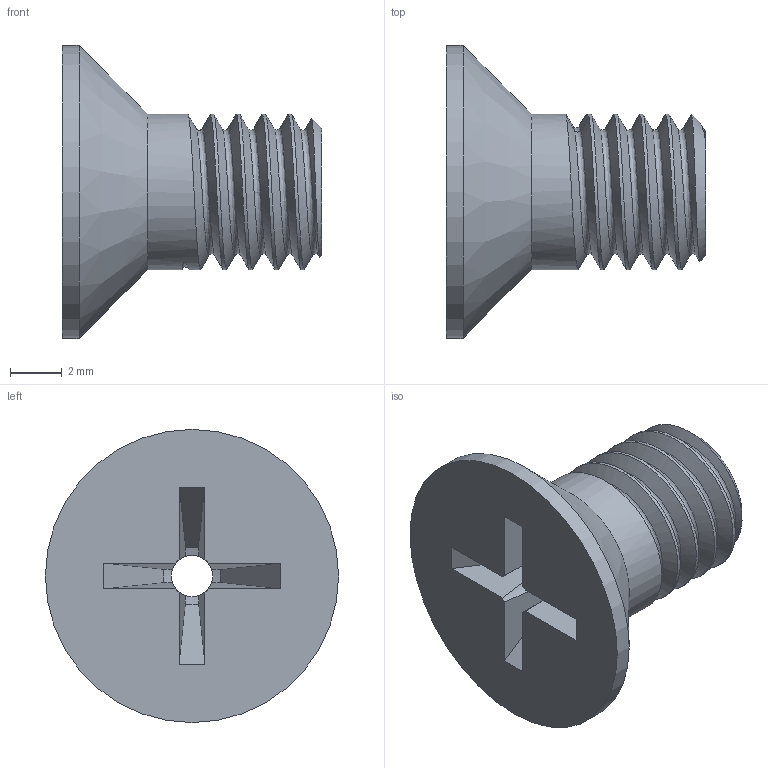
import cadquery as cq
import math

screw_length = 10.0
head_radius = 5.65
rim_thickness = 0.65
shank_radius = 3.0
head_length = rim_thickness + head_radius - shank_radius
tip_chamfer = 0.55
bore_radius = 0.8

pitch = 1.0
flank_half_angle = math.radians(30)
sharp_depth = pitch * math.cos(flank_half_angle)
thread_depth = 17 / 24 * sharp_depth
crest_width = pitch / 8
root_radius = shank_radius - thread_depth
root_fillet = sharp_depth / 6
constant_radius = 360
cutter_clearance = 0.1
groove_start_angle = 15.0
groove_start_x = 5.06
groove_overrun = 1.0
runout_angle = 130.0

wing_span = 6.82
wing_width = 1.0
wing_end_angle = math.radians(38)
wing_draft = math.radians(4.6)
recess_corner_radius = 1.08
recess_corner_depth = (wing_span / 2 - recess_corner_radius) / math.tan(wing_end_angle)
recess_floor_slope = math.radians(15)


def make_blank():
    """Head, shank and chamfered tip, revolved about X."""
    profile = [
        (0, 0),
        (0, head_radius),
        (rim_thickness, head_radius),
        (head_length, shank_radius),
        (screw_length - tip_chamfer, shank_radius),
        (screw_length, shank_radius - tip_chamfer),
        (screw_length, 0),
    ]
    return cq.Workplane("XY").polyline(profile).close().revolve(360, (0, 0, 0), (1, 0, 0))


def groove_section(radius_shift):
    """Groove outline in the XZ plane, moved outward from full depth by radius_shift."""
    mouth_radius = shank_radius + cutter_clearance + radius_shift
    half_mouth = (pitch - crest_width) / 2 + cutter_clearance * math.tan(flank_half_angle)
    root_centre = root_radius + root_fillet + radius_shift
    tangent_radius = root_centre - root_fillet * math.sin(flank_half_angle)
    half_root = root_fillet * math.cos(flank_half_angle)
    return (
        cq.Workplane("XZ")
        .moveTo(tangent_radius, -half_root)
        .threePointArc((root_radius + radius_shift, 0), (tangent_radius, half_root))
        .lineTo(mouth_radius, half_mouth)
        .lineTo(mouth_radius, -half_mouth)
        .close()
    )


def helical_cutter(axial_length, rise):
    """Groove swept up a helix about Z; it starts shallower by rise and ends at full depth."""
    cone_angle = math.atan2(-rise, axial_length)
    slant = 1 / math.cos(cone_angle)
    path = cq.Wire.makeHelix(
        pitch * slant,
        axial_length * slant,
        root_radius + rise,
        angle=math.degrees(cone_angle) or constant_radius,
    )
    return groove_section(rise).sweep(cq.Workplane(path), isFrenet=True).val()


def place_cutter(cutter, start_x, start_angle):
    """Turn a cutter made about Z onto the screw axis."""
    turned = cutter.rotate(cq.Vector(0, 0, 0), cq.Vector(0, 0, 1), start_angle)
    return turned.translate(cq.Vector(0, 0, start_x)).moved(cq.Plane.named("YZ").location)


def cut_thread(body):
    """Cut the full-depth groove and the run-out that fades into the shank."""
    groove = helical_cutter(screw_length + groove_overrun - groove_start_x, 0)
    body = body.cut(cq.Workplane(place_cutter(groove, groove_start_x, groove_start_angle)))
    runout_length = pitch * runout_angle / 360
    runout = helical_cutter(runout_length, thread_depth)
    runout_start_x = groove_start_x - runout_length
    runout_start_angle = groove_start_angle - runout_angle
    return body.cut(cq.Workplane(place_cutter(runout, runout_start_x, runout_start_angle)))


def make_recess():
    """Two crossed tapering slots, closed by the conical recess floor."""
    floor_drop = recess_corner_radius * math.tan(recess_floor_slope)
    depth = recess_corner_depth + floor_drop
    bottom_span = wing_span - 2 * depth * math.tan(wing_end_angle)
    bottom_width = wing_width - 2 * depth * math.tan(wing_draft)
    slot = (
        cq.Workplane("YZ")
        .rect(wing_span, wing_width)
        .workplane(offset=depth)
        .rect(bottom_span, bottom_width)
        .loft(ruled=True)
    )
    cross = slot.union(slot.rotate((0, 0, 0), (1, 0, 0), 90))
    rim_depth = depth - head_radius * math.tan(recess_floor_slope)
    floor_profile = [(0, 0), (0, head_radius), (rim_depth, head_radius), (depth, 0)]
    envelope = cq.Workplane("XY").polyline(floor_profile).close().revolve(360, (0, 0, 0), (1, 0, 0))
    return cross.intersect(envelope)


def make_bore():
    """Axial hole through the whole screw."""
    return cq.Workplane("YZ").circle(bore_radius).extrude(screw_length)


result = cut_thread(make_blank()).cut(make_recess()).cut(make_bore())